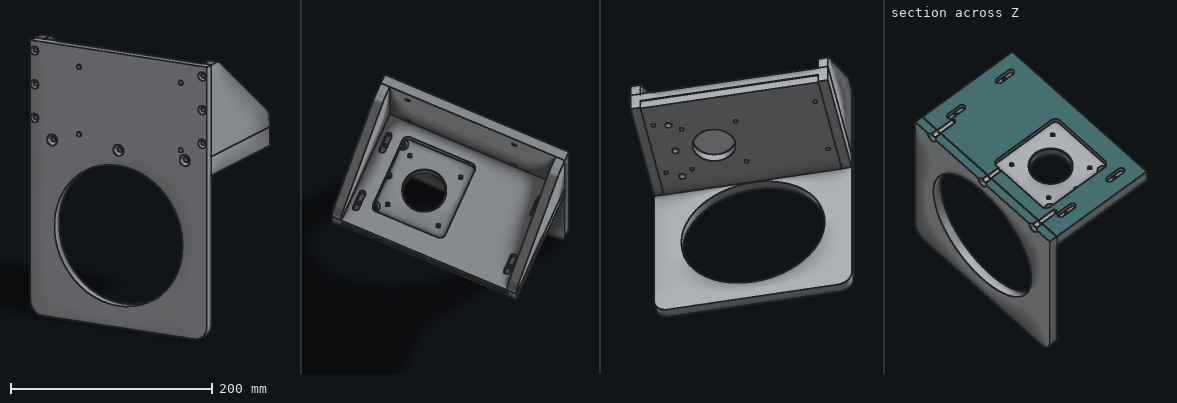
import cadquery as cq
import math

width = 200.0
height = 283.5
plate_thickness = 10.0
shelf_depth = 120.2

corner_radius = 14.2
opening_diameter = 145.2
opening_z = 95.0
fixing_hole_diameter = 4.8
fixing_hole_xs = (-44.8, 70.5)
fixing_hole_drops = (20.0, 90.0)

gusset_screw_drops = (10.2, 45.0, 80.0)
gusset_screw_clearance = 4.5
gusset_screw_head = 9.0
gusset_screw_tap = 3.5
shelf_screw_pitch = 75.0
shelf_screw_clearance = 5.5
shelf_screw_head = 11.5
shelf_screw_tap = 4.3
countersink_angle = 90
tap_depth = 19.8
drill_tip_angle = 118

gusset_height = 95.0
gusset_top_length = 15.0
gusset_back_height = 15.0
gusset_corner_radius = 15.0

shelf_thickness = 19.8
shelf_web = 10.0
window_y = 55.8
window_left = -10.8
window_right = 67.8
window_length = 84.2
window_corner_radius = 6.0
slot_length = 22.0
slot_width = 6.2
slot_x = 82.0
slot_y = 61.5
slot_pitch = 65.2

motor_plate_thickness = 10.2
motor_plate_end_gap = 0.9
motor_x = 28.0
motor_y = 56.0
bore_diameter = 42.5
bore_chamfer = 0.9
motor_hole_pitch = 55.0
motor_hole_diameter = 4.0
clamp_hole_diameter = 4.0
side_hole_x = 67.2
side_hole_spacing = 35.2
side_hole_diameter = 6.8
side_hole_head = 12.0

shelf_top = height - gusset_height
shelf_bottom = shelf_top - shelf_thickness
channel_top = shelf_top - shelf_web
channel_width = width - 2 * plate_thickness
shelf_screw_z = shelf_top - shelf_web / 2
gusset_x = (width - plate_thickness) / 2

gusset_screws = [(side * gusset_x, height - drop) for side in (-1, 1) for drop in gusset_screw_drops]
shelf_screws = [(i * shelf_screw_pitch, shelf_screw_z) for i in (-1, 0, 1)]
clamp_points = [(i * slot_x, slot_y + j * slot_pitch / 2) for i in (-1, 1) for j in (-1, 1)]


def face_workplane(y):
    """Vertical XZ plane at depth y, with local axes along +X and +Z, facing -Y."""
    return cq.Workplane("XZ", origin=(0, y, 0))


def blind_hole(x, z, diameter):
    """Tapping drill hole running in +Y from Y = 0, with a conical tip."""
    radius = diameter / 2
    tip_length = radius / math.tan(math.radians(drill_tip_angle / 2))
    return (
        cq.Workplane("XY", origin=(x, 0, z))
        .polyline([(0, 0), (radius, 0), (radius, tap_depth), (0, tap_depth + tip_length)])
        .close()
        .revolve(360, (0, 0), (0, 1))
    )


def make_face_plate():
    plate = (
        cq.Workplane("XY")
        .box(width, plate_thickness, height, centered=(True, False, False))
        .translate((0, -plate_thickness, 0))
        .edges("|Y and <Z")
        .fillet(corner_radius)
    )
    front = face_workplane(-plate_thickness)
    opening = front.center(0, opening_z).circle(opening_diameter / 2).extrude(-plate_thickness)
    fixing_points = [(x, height - drop) for x in fixing_hole_xs for drop in fixing_hole_drops]
    fixing_holes = front.pushPoints(fixing_points).circle(fixing_hole_diameter / 2).extrude(-plate_thickness)
    plate = plate.cut(opening).cut(fixing_holes)
    plate = (
        plate.copyWorkplane(front)
        .pushPoints(gusset_screws)
        .cskHole(gusset_screw_clearance, gusset_screw_head, countersink_angle, plate_thickness)
    )
    return (
        plate.copyWorkplane(front)
        .pushPoints(shelf_screws)
        .cskHole(shelf_screw_clearance, shelf_screw_head, countersink_angle, plate_thickness)
    )


def make_gusset(side):
    """Sloped side plate standing on the shelf; side is -1 for the left one, 1 for the right one."""
    outline = [
        (0, shelf_top),
        (shelf_depth, shelf_top),
        (shelf_depth, shelf_top + gusset_back_height),
        (gusset_top_length, height),
        (0, height),
    ]
    gusset = (
        cq.Workplane("YZ", origin=(side * gusset_x, 0, 0))
        .polyline(outline)
        .close()
        .extrude(plate_thickness / 2, both=True)
    )
    for corner in outline[2:4]:
        gusset = gusset.edges(cq.selectors.NearestToPointSelector((side * gusset_x, *corner))).fillet(
            gusset_corner_radius
        )
    for drop in gusset_screw_drops:
        gusset = gusset.cut(blind_hole(side * gusset_x, height - drop, gusset_screw_tap))
    return gusset


def make_shelf():
    shelf = cq.Workplane("XY", origin=(0, 0, shelf_bottom)).box(
        width, shelf_depth, shelf_thickness, centered=(True, False, False)
    )
    channel = cq.Workplane("XY", origin=(0, 0, shelf_bottom)).box(
        channel_width, shelf_depth, channel_top - shelf_bottom, centered=(True, False, False)
    )
    window = (
        cq.Workplane("XY", origin=((window_left + window_right) / 2, window_y, shelf_bottom))
        .rect(window_right - window_left, window_length)
        .extrude(shelf_thickness)
        .edges("|Z")
        .fillet(window_corner_radius)
    )
    slots = (
        cq.Workplane("XY", origin=(0, 0, shelf_bottom))
        .pushPoints(clamp_points)
        .slot2D(slot_length, slot_width, 90)
        .extrude(shelf_thickness)
    )
    shelf = shelf.cut(channel).cut(window).cut(slots)
    for x, z in shelf_screws:
        shelf = shelf.cut(blind_hole(x, z, shelf_screw_tap))
    return shelf


def make_motor_plate():
    top = cq.Workplane("XY", origin=(0, 0, channel_top))
    plate_length = shelf_depth - motor_plate_end_gap
    plate = cq.Workplane("XY", origin=(0, 0, channel_top - motor_plate_thickness)).box(
        channel_width, plate_length, motor_plate_thickness, centered=(True, False, False)
    )
    plate = plate.copyWorkplane(top).center(motor_x, motor_y).cskHole(
        bore_diameter, bore_diameter + 2 * bore_chamfer, countersink_angle, motor_plate_thickness
    )
    motor_holes = (
        top.center(motor_x, motor_y)
        .rect(motor_hole_pitch, motor_hole_pitch, forConstruction=True)
        .vertices()
        .circle(motor_hole_diameter / 2)
        .extrude(-motor_plate_thickness)
    )
    clamp_holes = top.pushPoints(clamp_points).circle(clamp_hole_diameter / 2).extrude(-motor_plate_thickness)
    middle_hole = top.center(side_hole_x, motor_y).circle(side_hole_diameter / 2).extrude(-motor_plate_thickness)
    plate = plate.cut(motor_holes).cut(clamp_holes).cut(middle_hole)
    return (
        plate.copyWorkplane(top)
        .pushPoints([(side_hole_x, motor_y + j * side_hole_spacing) for j in (-1, 1)])
        .cskHole(side_hole_diameter, side_hole_head, countersink_angle, motor_plate_thickness)
    )


face_plate = make_face_plate()
gussets = [make_gusset(side) for side in (-1, 1)]
shelf = make_shelf()
motor_plate = make_motor_plate()

result = cq.Compound.makeCompound(
    [face_plate.val(), *[gusset.val() for gusset in gussets], shelf.val(), motor_plate.val()]
)